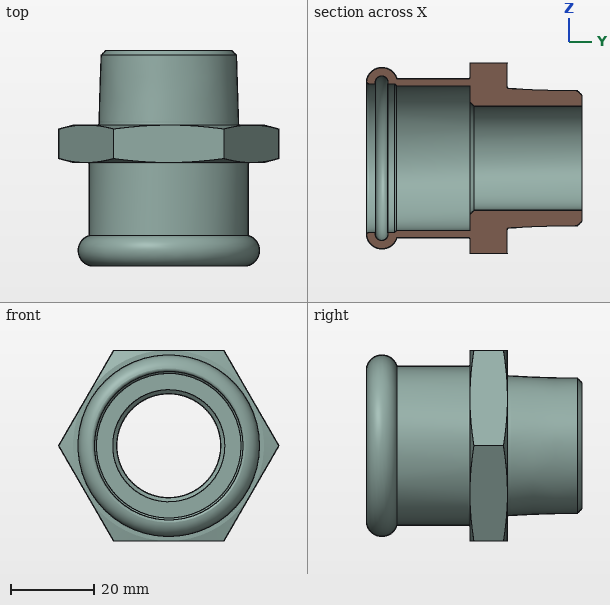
import cadquery as cq
import math


total_length = 52.0
hex_start = 24.95
hex_end = 34.0
socket_depth = hex_start
thread_root = 34.95

hex_across_corners = 53.1
hex_across_flats = hex_across_corners * math.cos(math.pi / 6)
hex_chamfer_angle = math.radians(15)

tube_radius = 38.4 / 2
neck_fillet = 0.35
bead_radius = 21.9
bead_length = 7.4
collar_radius = 33.7 / 2
collar_fillet = 0.3
thread_taper = 1 / 16
tip_chamfer = 1.15

bore_radius = 25.0 / 2
seat_chamfer = 1.0
socket_radius = 17.4
mouth_radius = 35.8 / 2
mouth_fillet = 0.7
groove_start = 2.25
groove_end = 5.15
groove_depth = 1.9
land_end = 6.8

arc_middle = 1 - math.sqrt(0.5)

thread_end = total_length - tip_chamfer
thread_end_radius = collar_radius - (thread_end - thread_root) * thread_taper / 2
mouth_rim_radius = mouth_radius + mouth_fillet
arc_offset = mouth_fillet * arc_middle
land_step = mouth_radius - socket_radius
groove_middle = (groove_start + groove_end) / 2


def revolve(profile):
    """Turn a closed (radius, y) profile around the Y axis."""
    return profile.close().revolve(360, (0, 0, 0), (0, 1, 0))


def make_turned_body():
    """Bead, tube, collar and tapered thread, solid to the axis."""
    profile = (
        cq.Workplane("XY")
        .lineTo(mouth_rim_radius, 0)
        .threePointArc((bead_radius, bead_length / 2), (tube_radius, bead_length))
        .lineTo(tube_radius, hex_start - neck_fillet)
        .threePointArc(
            (tube_radius + neck_fillet * arc_middle, hex_start - neck_fillet * arc_middle),
            (tube_radius + neck_fillet, hex_start),
        )
        .lineTo(tube_radius, hex_end)
        .lineTo(collar_radius + collar_fillet, hex_end)
        .threePointArc(
            (collar_radius + collar_fillet * arc_middle, hex_end + collar_fillet * arc_middle),
            (collar_radius, hex_end + collar_fillet),
        )
        .lineTo(collar_radius, thread_root)
        .lineTo(thread_end_radius, thread_end)
        .lineTo(thread_end_radius - tip_chamfer, total_length)
        .lineTo(0, total_length)
    )
    return revolve(profile)


def make_hexagon():
    """Hexagon with corners on X, its corners cut back by shallow cones on both faces."""
    flat_radius = hex_across_flats / 2
    corner_radius = hex_across_corners / 2
    corner_drop = (corner_radius - flat_radius) * math.tan(hex_chamfer_angle)
    prism = (
        cq.Workplane("XZ", origin=(0, hex_start, 0))
        .polygon(6, hex_across_corners)
        .extrude(hex_start - hex_end)
    )
    envelope = (
        cq.Workplane("XY")
        .moveTo(0, hex_start)
        .lineTo(flat_radius, hex_start)
        .lineTo(corner_radius, hex_start + corner_drop)
        .lineTo(corner_radius, hex_end - corner_drop)
        .lineTo(flat_radius, hex_end)
        .lineTo(0, hex_end)
    )
    return prism.intersect(revolve(envelope))


def make_cavity():
    """Socket with rounded mouth and seal groove, stepping down to the through bore."""
    profile = (
        cq.Workplane("XY")
        .lineTo(mouth_rim_radius, 0)
        .threePointArc((mouth_radius + arc_offset, arc_offset), (mouth_radius, mouth_fillet))
        .lineTo(mouth_radius, groove_start)
        .threePointArc(
            (mouth_radius + groove_depth, groove_middle), (mouth_radius, groove_end)
        )
        .lineTo(mouth_radius, land_end)
        .lineTo(socket_radius, land_end + land_step)
        .lineTo(socket_radius, socket_depth)
        .lineTo(bore_radius + seat_chamfer, socket_depth)
        .lineTo(bore_radius, socket_depth + seat_chamfer)
        .lineTo(bore_radius, total_length)
        .lineTo(0, total_length)
    )
    return revolve(profile)


result = make_turned_body().union(make_hexagon()).cut(make_cavity())